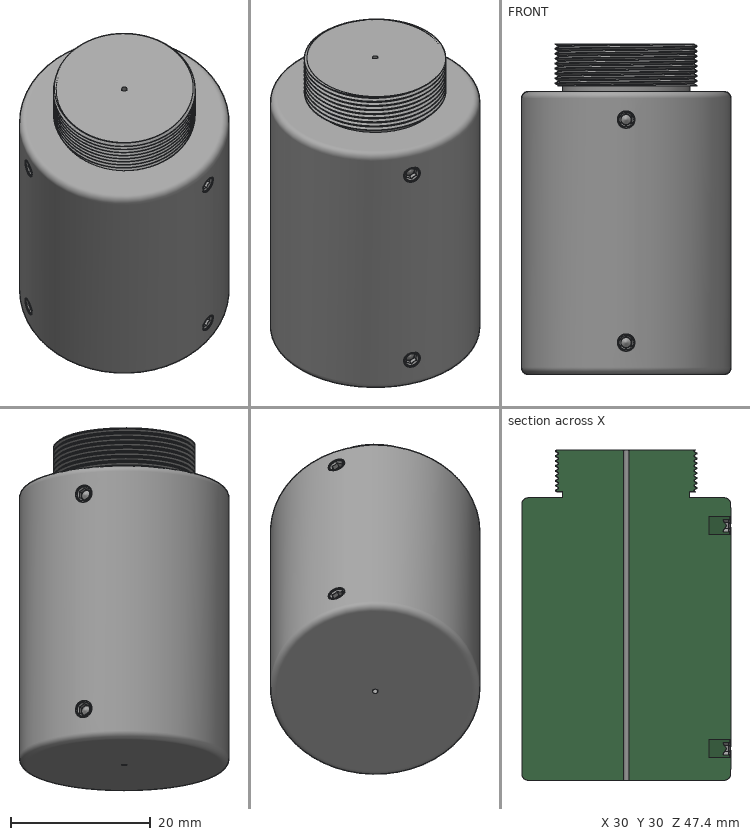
import cadquery as cq
import math

housing_diameter = 30.0
housing_height = 40.55
edge_radius = 1.0
overall_height = 47.35
axial_bore_diameter = 0.75

neck_diameter = 18.3
thread_bottom = 41.35
thread_crest_diameter = 20.3
thread_root_diameter = 19.5
thread_turns = 8.5
thread_flank_angle = 30.0
thread_crest_width = 0.1
thread_runout_turns = 2
ridge_root_overlap = 0.05
core_seam_angle = 100.0
thread_height = overall_height - thread_bottom
thread_pitch = thread_height / thread_turns

screw_diameter = 2.5
screw_length = 3.0
screw_recess = 0.15
screw_chamfer = 0.07
socket_flats = 1.5
socket_depth = 0.95
socket_countersink_diameter = 2.05
socket_cone_diameter = 1.45
socket_cone_height = 0.45
screw_heights = [4.6, 36.5]
screw_angles = [-90.0, 30.0, 150.0]

housing_radius = housing_diameter / 2
screw_face_radius = housing_radius - screw_recess
screw_inner_radius = screw_face_radius - screw_length


def make_thread_ridge():
    """Right-handed helical ridge with a narrow flat crest, trimmed flat to the ends of the boss."""
    crest_radius = thread_crest_diameter / 2
    foot_radius = thread_root_diameter / 2 - ridge_root_overlap
    flank_width = (crest_radius - foot_radius) * math.tan(math.radians(thread_flank_angle))
    half_crest = thread_crest_width / 2
    half_foot = half_crest + flank_width
    helix_bottom = thread_bottom - thread_runout_turns * thread_pitch
    helix_height = (thread_turns + 2 * thread_runout_turns) * thread_pitch
    helix = cq.Wire.makeHelix(thread_pitch, helix_height, crest_radius)
    ridge = (
        cq.Workplane("XZ")
        .polyline([
            (foot_radius, -half_foot),
            (crest_radius, -half_crest),
            (crest_radius, half_crest),
            (foot_radius, half_foot),
        ])
        .close()
        .sweep(cq.Workplane(helix), isFrenet=True)
        .translate((0, 0, helix_bottom))
    )
    boss_space = (
        cq.Workplane("XY")
        .workplane(offset=thread_bottom)
        .circle(housing_radius)
        .extrude(thread_height)
    )
    return ridge.intersect(boss_space, clean=False)


def make_threaded_boss():
    """Root cylinder of the boss with the thread ridge wound around it."""
    core = (
        cq.Workplane("XY")
        .workplane(offset=thread_bottom)
        .circle(thread_root_diameter / 2)
        .extrude(thread_height)
        .rotate((0, 0, 0), (0, 0, 1), core_seam_angle)
    )
    return core.union(make_thread_ridge(), clean=False)


def place_on_housing(shape, angle, height):
    """Move a shape built along +X to one screw position on the housing wall."""
    return shape.rotate((0, 0, 0), (0, 0, 1), angle).translate((0, 0, height))


def make_screw_hole():
    """Blind radial hole along +X for one set screw, open at the housing wall."""
    depth = housing_radius - screw_inner_radius
    return cq.Workplane("YZ").workplane(offset=screw_inner_radius).circle(screw_diameter / 2).extrude(depth)


def make_set_screw():
    """Set screw along +X: countersunk hexagon socket in its outer face, raised cone on the socket floor."""
    shank = (
        cq.Workplane("YZ")
        .workplane(offset=screw_inner_radius)
        .circle(screw_diameter / 2)
        .extrude(screw_length)
        .faces(">X")
        .chamfer(screw_chamfer)
    )
    socket = (
        cq.Workplane("YZ")
        .workplane(offset=screw_face_radius - socket_depth)
        .polygon(6, socket_flats, circumscribed=True)
        .extrude(socket_depth)
    )
    countersink_radius = socket_countersink_diameter / 2
    countersink = cq.Workplane(cq.Solid.makeCone(
        countersink_radius, 0, countersink_radius,
        pnt=cq.Vector(screw_face_radius, 0, 0), dir=cq.Vector(-1, 0, 0),
    ))
    floor_cone = cq.Workplane(cq.Solid.makeCone(
        socket_cone_diameter / 2, 0, socket_cone_height,
        pnt=cq.Vector(screw_face_radius - socket_depth, 0, 0), dir=cq.Vector(1, 0, 0),
    ))
    return shank.cut(socket).cut(countersink).union(floor_cone)


def make_housing():
    """Rounded barrel with its screw holes, neck, threaded boss and axial through bore."""
    barrel = cq.Workplane("XY").circle(housing_radius).extrude(housing_height).edges().fillet(edge_radius)
    for height in screw_heights:
        for angle in screw_angles:
            barrel = barrel.cut(place_on_housing(make_screw_hole(), angle, height))
    neck = (
        cq.Workplane("XY")
        .workplane(offset=housing_height)
        .circle(neck_diameter / 2)
        .extrude(thread_bottom - housing_height)
    )
    axial_bore = cq.Workplane("XY").circle(axial_bore_diameter / 2).extrude(overall_height)
    return barrel.union(neck).union(make_threaded_boss(), clean=False).cut(axial_bore, clean=False)


housing = make_housing()

set_screws = []
for height in screw_heights:
    for angle in screw_angles:
        set_screws.append(place_on_housing(make_set_screw(), angle, height).solids().val())

result = cq.Compound.makeCompound([housing.solids().val(), *set_screws])